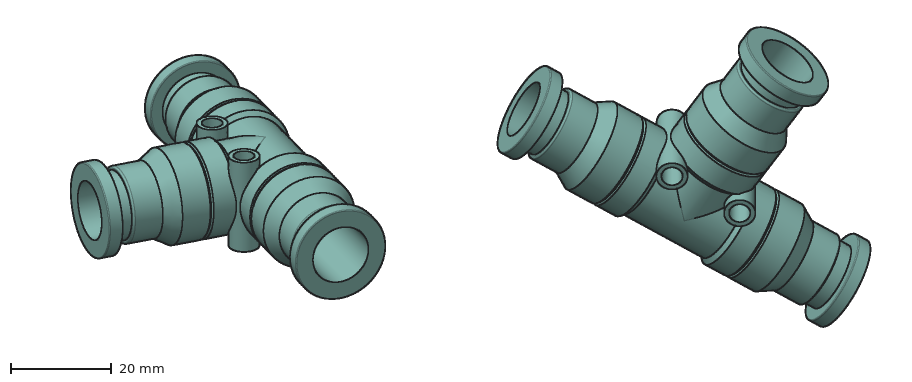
import cadquery as cq

ARM_LENGTH = 37.9

FLANGE_DIAMETER = 19.5
NECK_DIAMETER = 14.26
SLEEVE_DIAMETER = 15.84
COLLAR_DIAMETER = 19.8
CORE_DIAMETER = 17.82
BORE_DIAMETER = 12.0

FLANGE_LENGTH = 3.0
NECK_LENGTH = 3.0
SLEEVE_LENGTH = 6.4
CONE_LENGTH = 3.4
CAP_LENGTH = 6.0
GROOVE_LENGTH = 0.75
COLLAR_LENGTH = 4.85
COLLAR_CHAMFER_LENGTH = (COLLAR_DIAMETER - CORE_DIAMETER) / 2

GROOVE_DIAMETER = COLLAR_DIAMETER - GROOVE_LENGTH

FLANGE_FILLET = 0.2
SLEEVE_FILLET = 0.4
BORE_DEPTH = 22.0

EYELET_OFFSET = 8.0
EYELET_DIAMETER = 6.2
EYELET_HOLE_DIAMETER = 4.2
EYELET_HEIGHT = COLLAR_DIAMETER

ARM_ANGLES = (0, 90, 180)


def make_arm():
    """Solid arm of revolution from the origin out to -X."""
    flange_radius = FLANGE_DIAMETER / 2
    neck_radius = NECK_DIAMETER / 2
    sleeve_radius = SLEEVE_DIAMETER / 2
    collar_radius = COLLAR_DIAMETER / 2
    groove_radius = GROOVE_DIAMETER / 2
    core_radius = CORE_DIAMETER / 2

    end = -ARM_LENGTH
    flange_back = end + FLANGE_LENGTH
    sleeve_start = flange_back + NECK_LENGTH
    cone_start = sleeve_start + SLEEVE_LENGTH
    cap_start = cone_start + CONE_LENGTH
    groove_start = cap_start + CAP_LENGTH
    groove_bottom = groove_start + GROOVE_LENGTH / 2
    collar_start = groove_start + GROOVE_LENGTH
    collar_end = collar_start + COLLAR_LENGTH
    core_start = collar_end + COLLAR_CHAMFER_LENGTH

    return (
        cq.Workplane("XY")
        .moveTo(end, 0)
        .lineTo(end, flange_radius - FLANGE_FILLET)
        .radiusArc((end + FLANGE_FILLET, flange_radius), FLANGE_FILLET)
        .lineTo(flange_back - FLANGE_FILLET, flange_radius)
        .radiusArc((flange_back, flange_radius - FLANGE_FILLET), FLANGE_FILLET)
        .lineTo(flange_back, neck_radius)
        .lineTo(sleeve_start, neck_radius)
        .lineTo(sleeve_start, sleeve_radius - SLEEVE_FILLET)
        .radiusArc((sleeve_start + SLEEVE_FILLET, sleeve_radius), SLEEVE_FILLET)
        .lineTo(cone_start, sleeve_radius)
        .lineTo(cap_start, collar_radius)
        .lineTo(groove_start, collar_radius)
        .lineTo(groove_bottom, groove_radius)
        .lineTo(collar_start, collar_radius)
        .lineTo(collar_end, collar_radius)
        .lineTo(core_start, core_radius)
        .lineTo(0, core_radius)
        .lineTo(0, 0)
        .close()
        .revolve(360, (0, 0, 0), (1, 0, 0))
    )


def make_bore():
    """Blind tube socket in the open end of the -X arm."""
    return cq.Workplane("YZ", origin=(-ARM_LENGTH, 0, 0)).circle(BORE_DIAMETER / 2).extrude(BORE_DEPTH)


def eyelet_cylinders(diameter):
    """Vertical cylinders of the given diameter at both eyelet positions."""
    centres = [(side * EYELET_OFFSET, -EYELET_OFFSET) for side in (-1, 1)]
    return cq.Workplane("XY").pushPoints(centres).circle(diameter / 2).extrude(EYELET_HEIGHT / 2, both=True)


def around_tee(shape):
    """Copies of a -X arm shape, one for each arm of the tee."""
    return [shape.rotate((0, 0, 0), (0, 0, 1), angle) for angle in ARM_ANGLES]


def make_tee():
    left, branch, right = around_tee(make_arm())
    tee = left.union(right).union(branch).union(eyelet_cylinders(EYELET_DIAMETER))
    for bore in around_tee(make_bore()):
        tee = tee.cut(bore)
    return tee.cut(eyelet_cylinders(EYELET_HOLE_DIAMETER))


result = make_tee()